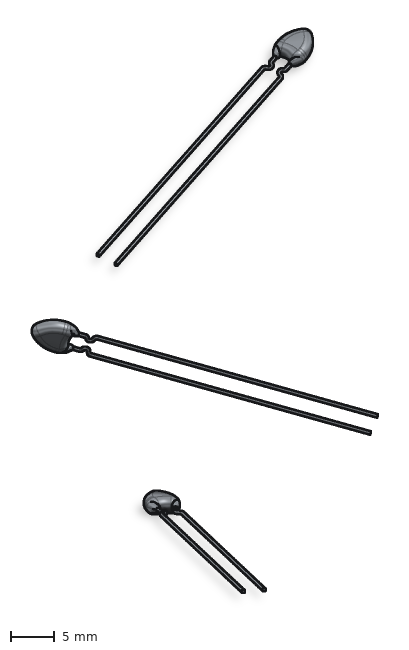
import cadquery as cq
import math

TOTAL_LENGTH = 41.0
HEAD_WIDTH = 4.0
HEAD_THICKNESS = 2.0

EDGE_RADIUS = HEAD_THICKNESS / 2
CORE_HALF_WIDTH = HEAD_WIDTH / 2 - EDGE_RADIUS
CORE_TIP_Y = -EDGE_RADIUS
SHOULDER_Y = -3.3
CORNER_Y = -3.65
BOTTOM_ARCH = 0.15

NECK_TILT = 31.0
NECK_BASE_DEPTH = 0.75
NECK_BASE_RADIUS = math.sqrt(EDGE_RADIUS**2 - NECK_BASE_DEPTH**2)
NECK_MIDDLE_X = 1.25
NECK_MIDDLE_Y = -4.7
NECK_MIDDLE_RADIUS = 0.57
NECK_END_Y = -5.25

WIRE_RADIUS = 0.22
BEND_RADIUS = 0.33
LEAD_TOP_X = CORE_HALF_WIDTH
KINK_X = 0.57
LEAD_X = 1.25
UPPER_BEND_Y = -6.25
KINK_TOP_Y = -6.48
KINK_BOTTOM_Y = -6.93
LOWER_BEND_Y = -7.25


def outward_direction(tangent):
    """Outward side of the core outline, which runs clockwise seen from +Z."""
    return cq.Vector(-tangent.y, tangent.x, 0)


def half_disc(point, outward):
    """Half disc of the rounded edge, standing on the outline at the given point."""
    section = cq.Plane(point, xDir=outward, normal=outward.cross(cq.Vector(0, 0, 1)))
    return (
        cq.Workplane(section)
        .moveTo(0, -EDGE_RADIUS)
        .threePointArc((EDGE_RADIUS, 0), (0, EDGE_RADIUS))
        .close()
    )


def make_edge_round(edge):
    """Half-round edge along one stretch of the core outline."""
    path = cq.Workplane(cq.Wire.assembleEdges([edge]))
    return half_disc(edge.startPoint(), outward_direction(edge.tangentAt(0))).sweep(path)


def make_corner_round(incoming, outgoing):
    """Wedge of a ball that joins the half-round edges of two stretches."""
    before = outward_direction(incoming.tangentAt(1))
    after = outward_direction(outgoing.tangentAt(0))
    turn = math.degrees(before.getAngle(after))
    profile = half_disc(outgoing.startPoint(), before)
    return profile.revolve(turn, (0, 0, 0), (0, -1, 0))


def make_rounded_plate():
    """Egg-shaped plate: a flat core surrounded by half-round edges and corners."""
    tip = cq.Vector(0, CORE_TIP_Y)
    right_shoulder = cq.Vector(CORE_HALF_WIDTH, SHOULDER_Y)
    left_shoulder = cq.Vector(-CORE_HALF_WIDTH, SHOULDER_Y)
    right_corner = cq.Vector(CORE_HALF_WIDTH, CORNER_Y)
    left_corner = cq.Vector(-CORE_HALF_WIDTH, CORNER_Y)
    arch = cq.Vector(0, CORNER_Y + BOTTOM_ARCH)

    rise = CORE_TIP_Y - SHOULDER_Y
    side_radius = (CORE_HALF_WIDTH**2 + rise**2) / (2 * CORE_HALF_WIDTH)
    half_angle = math.asin(rise / side_radius) / 2
    middle_x = CORE_HALF_WIDTH - side_radius * (1 - math.cos(half_angle))
    middle_y = SHOULDER_Y + side_radius * math.sin(half_angle)

    right_arc = cq.Edge.makeThreePointArc(tip, cq.Vector(middle_x, middle_y), right_shoulder)
    right_line = cq.Edge.makeLine(right_shoulder, right_corner)
    bottom_arc = cq.Edge.makeThreePointArc(right_corner, arch, left_corner)
    left_line = cq.Edge.makeLine(left_corner, left_shoulder)
    left_arc = cq.Edge.makeThreePointArc(left_shoulder, cq.Vector(-middle_x, middle_y), tip)
    edges = [right_arc, right_line, bottom_arc, left_line, left_arc]

    outline = cq.Wire.assembleEdges(edges)
    core = cq.Solid.extrudeLinear(outline, [], cq.Vector(0, 0, HEAD_THICKNESS))
    plate = cq.Workplane(core.translate(cq.Vector(0, 0, -EDGE_RADIUS)))
    for edge in edges:
        plate = plate.union(make_edge_round(edge))
    sharp_corners = [(left_arc, right_arc), (right_line, bottom_arc), (bottom_arc, left_line)]
    for incoming, outgoing in sharp_corners:
        plate = plate.union(make_corner_round(incoming, outgoing))
    return plate


def make_neck(side):
    """Smooth taper from a tilted circle on the corner ball to the lead."""
    def ring(x, y, radius, tilt):
        angle = math.radians(tilt)
        direction = cq.Vector(side * math.sin(angle), -math.cos(angle), 0)
        return cq.Wire.makeCircle(radius, cq.Vector(side * x, y, 0), direction)

    angle = math.radians(NECK_TILT)
    base_x = CORE_HALF_WIDTH + NECK_BASE_DEPTH * math.sin(angle)
    base_y = CORNER_Y - NECK_BASE_DEPTH * math.cos(angle)
    rings = [
        ring(base_x, base_y, NECK_BASE_RADIUS, NECK_TILT),
        ring(NECK_MIDDLE_X, NECK_MIDDLE_Y, NECK_MIDDLE_RADIUS, NECK_TILT / 2),
        ring(LEAD_TOP_X, NECK_END_Y, WIRE_RADIUS, 0),
    ]
    return cq.Workplane(cq.Solid.makeLoft(rings))


def make_head():
    head = make_rounded_plate()
    for side in (-1, 1):
        head = head.union(make_neck(side))
    return head


def make_lead(side):
    """Round wire with an inward kink below the neck and a long straight tail."""
    points = [
        (LEAD_TOP_X, NECK_END_Y),
        (LEAD_TOP_X, UPPER_BEND_Y),
        (KINK_X, KINK_TOP_Y),
        (KINK_X, KINK_BOTTOM_Y),
        (LEAD_X, LOWER_BEND_Y),
        (LEAD_X, -TOTAL_LENGTH),
    ]
    corners = cq.Wire.makePolygon([cq.Vector(side * x, y) for x, y in points])
    path = cq.Workplane(corners.fillet2D(BEND_RADIUS, corners.Vertices()[1:-1]))
    start = cq.Plane((side * LEAD_TOP_X, NECK_END_Y, 0), xDir=(1, 0, 0), normal=(0, -1, 0))
    return cq.Workplane(start).circle(WIRE_RADIUS).sweep(path)


head = make_head()
leads = [make_lead(side) for side in (-1, 1)]

result = cq.Compound.makeCompound([head.val(), *(lead.val() for lead in leads)])